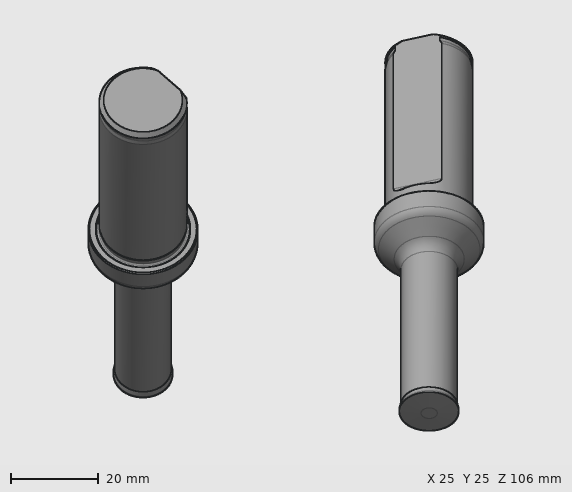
import cadquery as cq
import math

total_height = 106.0

tip_radius = 3.7 / 2
head_radius = 6.8
head_land_bottom = 0.4
head_land_top = 1.0
head_height = 2.2

neck_radius = 12.9 / 2
collar_radius = 25.0 / 2
flare_angle = math.radians(50)
flare_start = 44.9
flare_end = flare_start + (collar_radius - neck_radius) / math.tan(flare_angle)
neck_blend_radius = 4.2
collar_blend_radius = 2.6

collar_top = 56.2
collar_chamfer = 0.3

undercut_outer_radius = 10.8
undercut_depth = 0.2
undercut_slope_width = 0.2
undercut_fillet = 0.3

shank_radius = 20.0 / 2
relief_radius = 19.5 / 2
shank_bottom = 58.0
shank_bottom_taper = 0.6
shank_top = 102.7
groove_floor_bottom = 103.7
groove_floor_top = 104.6
end_chamfer = 1.1

flat_distance = 8.2
flat_bottom = 60.2
flat_runout_radius = 2.0


def blend_points(corner_radius, corner_height, blend_radius, wall_direction):
    """Start, middle and end of the arc joining the wall and the flare.

    wall_direction is -1 for the wall below the corner and +1 for the wall above it.
    """
    tangent_length = blend_radius * math.tan(flare_angle / 2)
    wall_point = (corner_radius, corner_height + wall_direction * tangent_length)
    center_radius = corner_radius - wall_direction * blend_radius
    half_angle = flare_angle / 2
    mid_point = (
        center_radius + wall_direction * blend_radius * math.cos(half_angle),
        wall_point[1] - wall_direction * blend_radius * math.sin(half_angle),
    )
    flare_point = (
        center_radius + wall_direction * blend_radius * math.cos(flare_angle),
        wall_point[1] - wall_direction * blend_radius * math.sin(flare_angle),
    )
    return wall_point, mid_point, flare_point


def turn(profile):
    """Revolve a closed radius-height profile about the Z axis."""
    return profile.close().revolve(360, (0, 0, 0), (0, 1, 0))


def make_cutting_head():
    """Short head with a shallow conical end and a small flat tip."""
    profile = (
        cq.Workplane("XZ")
        .moveTo(0, 0)
        .lineTo(tip_radius, 0)
        .lineTo(head_radius, head_land_bottom)
        .lineTo(head_radius, head_land_top)
        .lineTo(neck_radius, head_height)
        .lineTo(0, head_height)
    )
    return turn(profile)


def make_turned_holder():
    """Neck, flared collar and shank before the flat is milled."""
    neck_wall, neck_mid, neck_flare = blend_points(neck_radius, flare_start, neck_blend_radius, -1)
    collar_wall, collar_mid, collar_flare = blend_points(
        collar_radius, flare_end, collar_blend_radius, 1
    )
    undercut_floor = collar_top - undercut_depth
    profile = (
        cq.Workplane("XZ")
        .moveTo(0, head_height)
        .lineTo(neck_radius, head_height)
        .lineTo(*neck_wall)
        .threePointArc(neck_mid, neck_flare)
        .lineTo(*collar_flare)
        .threePointArc(collar_mid, collar_wall)
        .lineTo(collar_radius, collar_top - collar_chamfer)
        .lineTo(collar_radius - collar_chamfer, collar_top)
        .lineTo(undercut_outer_radius, collar_top)
        .lineTo(undercut_outer_radius - undercut_slope_width, undercut_floor)
        .lineTo(relief_radius + undercut_fillet, undercut_floor)
        .radiusArc((relief_radius, undercut_floor + undercut_fillet), undercut_fillet)
        .lineTo(relief_radius, shank_bottom - shank_bottom_taper)
        .lineTo(shank_radius, shank_bottom)
        .lineTo(shank_radius, shank_top)
        .lineTo(relief_radius, groove_floor_bottom)
        .lineTo(relief_radius, groove_floor_top)
        .lineTo(shank_radius, total_height - end_chamfer)
        .lineTo(shank_radius - end_chamfer, total_height)
        .lineTo(0, total_height)
    )
    return turn(profile)


def make_flat_cutter():
    """Material removed by the flat, with a rounded run-out at its lower end."""
    clearance = 1.1
    outer_distance = shank_radius + clearance
    cutter_depth = outer_distance - flat_distance
    cutter_height = total_height + clearance - flat_bottom
    return (
        cq.Workplane("XY")
        .box(2 * outer_distance, cutter_depth, cutter_height, centered=(True, False, False))
        .translate((0, flat_distance, flat_bottom))
        .edges("|X and <Y and <Z")
        .fillet(flat_runout_radius)
    )


cutting_head = make_cutting_head()
holder = make_turned_holder().cut(make_flat_cutter())

result = cq.Compound.makeCompound([cutting_head.val(), holder.val()])